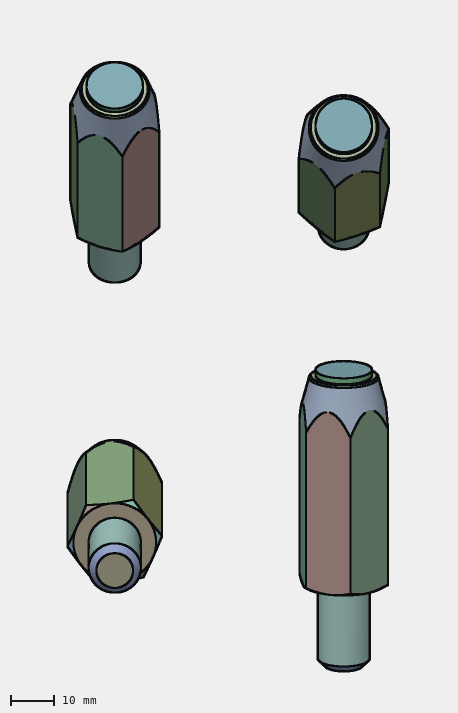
import cadquery as cq
import math

total_height = 71.5
stud_length = 20.0
cap_height = 1.4
shoulder_z = total_height - cap_height

across_flats = 19.0
across_corners = across_flats / math.cos(math.radians(30))
flat_radius = across_flats / 2
corner_radius = across_corners / 2
corner_clearance = 0.7

shoulder_radius = 8.0
shoulder_bevel = 0.4
taper_angle = 15.0
base_chamfer_angle = 30.0

stud_diameter = 12.0
stud_chamfer = 1.8
cap_diameter = 13.0


def turned_envelope():
    """Solid of revolution that trims the corners of the hexagon at both ends."""
    outer_radius = corner_radius + corner_clearance
    taper_top_z = shoulder_z - shoulder_bevel
    taper_height = (outer_radius - shoulder_radius) / math.tan(math.radians(taper_angle))
    base_rise = (outer_radius - flat_radius) * math.tan(math.radians(base_chamfer_angle))
    return (
        cq.Workplane("XZ")
        .moveTo(0, stud_length)
        .lineTo(flat_radius, stud_length)
        .lineTo(outer_radius, stud_length + base_rise)
        .lineTo(outer_radius, taper_top_z - taper_height)
        .lineTo(shoulder_radius, taper_top_z)
        .lineTo(shoulder_radius - shoulder_bevel, shoulder_z)
        .lineTo(0, shoulder_z)
        .close()
        .revolve(360, (0, 0), (0, 1))
    )


def hex_body():
    """Hexagonal bar with a tapered top and a chamfered base."""
    bar = (
        cq.Workplane("XY")
        .workplane(offset=stud_length)
        .transformed(rotate=(0, 0, 90))
        .polygon(6, across_corners)
        .extrude(shoulder_z - stud_length)
    )
    return bar.intersect(turned_envelope())


def stud():
    """Plain stud below the body, chamfered at its tip."""
    return (
        cq.Workplane("XY")
        .circle(stud_diameter / 2)
        .extrude(stud_length)
        .faces("<Z")
        .chamfer(stud_chamfer)
    )


def cap():
    """Low round disc on top of the body."""
    return (
        cq.Workplane("XY")
        .workplane(offset=shoulder_z)
        .circle(cap_diameter / 2)
        .extrude(cap_height)
    )


result = hex_body().union(stud()).union(cap())